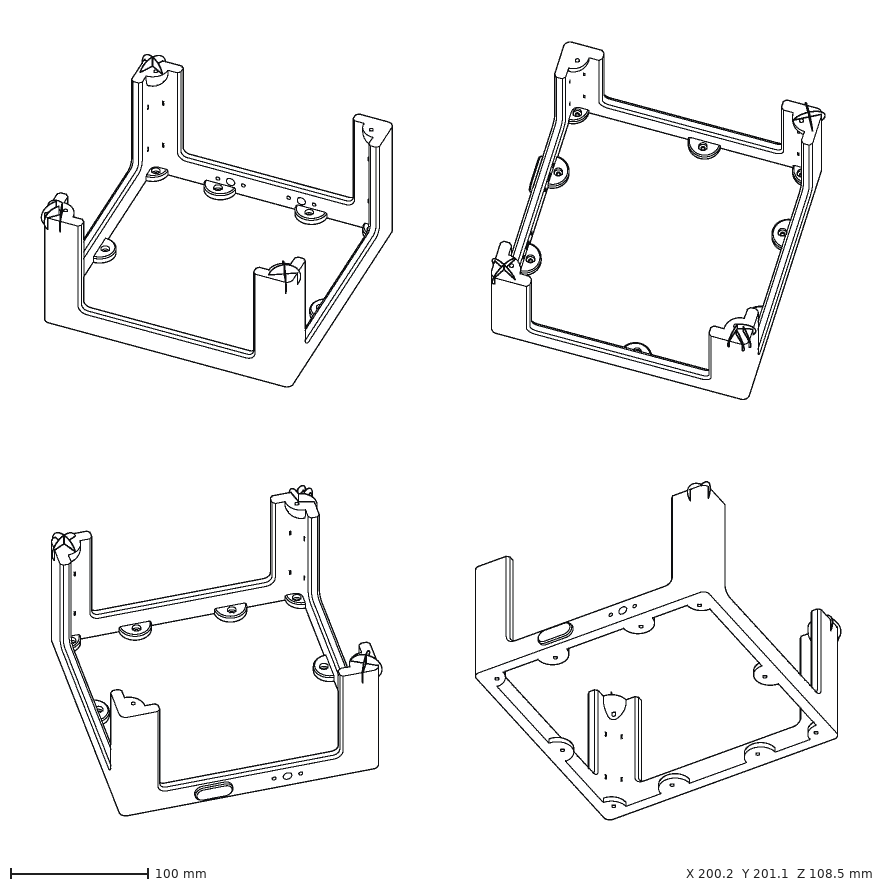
import cadquery as cq
import math

FRAME_WIDTH = 196.0
FRAME_HEIGHT = 100.0
WALL = 8.5
CORNER_RADIUS = 5.0
INNER_WIDTH = FRAME_WIDTH - 2 * WALL
HALF_OUTER = FRAME_WIDTH / 2
HALF_INNER = INNER_WIDTH / 2

WINDOW_WIDTH = 136.0
RAIL_HEIGHT = 19.7
WINDOW_RADIUS = 5.0
WINDOW_CHAMFER = 2.0

EAR_RADIUS = 12.0
EAR_THICKNESS = 5.0
EAR_CHAMFER = 1.0
EAR_SPACING = 72.0
SIDE_EAR_Y = -10.3
EAR_HOLE_INSET = 4.5
EAR_HOLE_CENTER = HALF_INNER - EAR_HOLE_INSET
SCREW_HOLE_DIAMETER = 2.8
COUNTERBORE_DIAMETER = 6.2
COUNTERBORE_DEPTH = 3.0

UPPER_DISC_THICKNESS = 3.5
BALL_HEIGHT = FRAME_HEIGHT - UPPER_DISC_THICKNESS

BLADE_THICKNESS = 0.5
CROSSED_BLADE_ANGLE = 29
PAIR_BLADE_OFFSET = 2.8
SIDE_BLADE_TILT = 15
SIDE_BLADE_INSET = 2.6

SLOT_INSET = 8.3
SLOT_WIDTH = 1.0
SLOT_HEIGHT = 3.2
SLOT_DEPTH = 2.0
SLOT_LEVELS = (27.0, 67.0)

PORT_SPACING = 56.0
PORT_HEIGHT = 9.5
PORT_DIAMETER = 6.5
PORT_SCREW_SPACING = 20.1

COVER_LENGTH = 28.5
COVER_HEIGHT = 12.0
COVER_THICKNESS = 3.0
COVER_CHAMFER = 1.0

SIDES = (-1, 1)
CORNERS = [(side_x, side_y) for side_x in SIDES for side_y in SIDES]


def turned(shape, angle):
    """The shape turned about the Z axis."""
    return shape.rotate((0, 0, 0), (0, 0, 1), angle)


def rounded_block(width):
    """Square block of frame height with rounded vertical edges."""
    return cq.Workplane().rect(width, width).extrude(FRAME_HEIGHT).edges("|Z").fillet(CORNER_RADIUS)


def window_outline(grow, distance):
    """Rounded window outline at a distance toward -Y, grown on all sides and open above the frame."""
    height = 2 * FRAME_HEIGHT
    outline = cq.Sketch().rect(WINDOW_WIDTH + 2 * grow, height).vertices().fillet(WINDOW_RADIUS + grow)
    center_z = RAIL_HEIGHT - grow + height / 2
    return cq.Workplane("XZ", origin=(0, -distance, center_z)).placeSketch(outline)


def make_window():
    """Cutter for the -Y wall window, flared at both wall faces."""
    through = window_outline(0, HALF_INNER).extrude(WALL)
    outer_flare = window_outline(WINDOW_CHAMFER, HALF_OUTER).extrude(-WINDOW_CHAMFER, taper=45)
    inner_flare = window_outline(WINDOW_CHAMFER, HALF_INNER).extrude(WINDOW_CHAMFER, taper=45)
    return through.union(outer_flare).union(inner_flare)


def make_walls():
    """Square ring with one window in each wall."""
    walls = rounded_block(FRAME_WIDTH).cut(rounded_block(INNER_WIDTH))
    window = make_window()
    for turn in range(4):
        walls = walls.cut(turned(window, 90 * turn))
    return walls


def make_lower_ear(x, y):
    """Disc with a chamfered top edge, resting on Z = 0."""
    disc = cq.Workplane(origin=(x, y, 0)).circle(EAR_RADIUS).extrude(EAR_THICKNESS)
    return disc.faces(">Z").chamfer(EAR_CHAMFER)


def make_upper_ear(x, y):
    """Disc level with the top of the frame, on the lower half of a ball."""
    return (
        cq.Workplane("XZ", origin=(x, y, BALL_HEIGHT))
        .moveTo(0, -EAR_RADIUS)
        .radiusArc((EAR_RADIUS, 0), -EAR_RADIUS)
        .lineTo(EAR_RADIUS, UPPER_DISC_THICKNESS)
        .lineTo(0, UPPER_DISC_THICKNESS)
        .close()
        .revolve(360, (0, 0), (0, 1))
    )


def upright_drill(x, y, bottom, diameter, depth):
    """Vertical cylindrical cutter."""
    return cq.Workplane(origin=(x, y, bottom)).circle(diameter / 2).extrude(depth)


def add_lower_ears(frame):
    """Ears at the corners, in pairs along the Y walls and singly on the X walls, each counterbored."""
    places = []
    for side_x, side_y in CORNERS:
        ear_x = side_x * EAR_SPACING / 2
        places.append(((side_x * HALF_INNER, side_y * HALF_INNER),
                       (side_x * EAR_HOLE_CENTER, side_y * EAR_HOLE_CENTER)))
        places.append(((ear_x, side_y * HALF_INNER), (ear_x, side_y * EAR_HOLE_CENTER)))
    for side_x in SIDES:
        places.append(((side_x * HALF_INNER, SIDE_EAR_Y), (side_x * EAR_HOLE_CENTER, SIDE_EAR_Y)))

    outer_block = rounded_block(FRAME_WIDTH)
    counterbore_floor = EAR_THICKNESS - COUNTERBORE_DEPTH
    for ear_center, hole_center in places:
        ear = make_lower_ear(*ear_center).intersect(outer_block)
        hole = upright_drill(*hole_center, 0, SCREW_HOLE_DIAMETER, EAR_THICKNESS)
        counterbore = upright_drill(
            *hole_center, counterbore_floor, COUNTERBORE_DIAMETER, COUNTERBORE_DEPTH
        )
        frame = frame.union(ear).cut(hole).cut(counterbore)
    return frame


def add_upper_ears(frame):
    """Ball-backed ears at the four upper corners, each with a through hole."""
    outer_block = rounded_block(FRAME_WIDTH)
    hole_depth = UPPER_DISC_THICKNESS + EAR_RADIUS
    for side_x, side_y in CORNERS:
        ear = make_upper_ear(side_x * HALF_INNER, side_y * HALF_INNER).intersect(outer_block)
        hole = upright_drill(
            side_x * EAR_HOLE_CENTER, side_y * EAR_HOLE_CENTER,
            FRAME_HEIGHT - hole_depth, SCREW_HOLE_DIAMETER, hole_depth,
        )
        frame = frame.union(ear).cut(hole)
    return frame


def cut_slots(frame):
    """Two levels of blind slots on both inner faces of every corner."""
    along = HALF_INNER - SLOT_INSET
    into = HALF_INNER + SLOT_DEPTH / 2
    for level in SLOT_LEVELS:
        y_wall_slot = cq.Workplane().box(SLOT_WIDTH, SLOT_DEPTH, SLOT_HEIGHT).translate((along, into, level))
        x_wall_slot = cq.Workplane().box(SLOT_DEPTH, SLOT_WIDTH, SLOT_HEIGHT).translate((into, along, level))
        for turn in range(4):
            frame = frame.cut(turned(y_wall_slot, 90 * turn)).cut(turned(x_wall_slot, 90 * turn))
    return frame


def cut_ports(frame):
    """Two ports through the +Y wall with their screw holes."""
    for side_x in SIDES:
        port_x = side_x * PORT_SPACING / 2
        holes = (
            cq.Workplane("XZ", origin=(port_x, HALF_OUTER, PORT_HEIGHT))
            .circle(PORT_DIAMETER / 2)
            .pushPoints([(side * PORT_SCREW_SPACING / 2, 0) for side in SIDES])
            .circle(SCREW_HOLE_DIAMETER / 2)
            .extrude(WALL)
        )
        frame = frame.cut(holes)
    return frame


def make_blade(corner, angle, start, offset=0):
    """Upright slice of a corner ball.

    It runs at a plan angle from start (measured from the ball centre) to the ball surface,
    and is shifted sideways by offset, positive to the left of its direction.
    """
    slab = cq.Workplane().box(
        EAR_RADIUS - start, BLADE_THICKNESS, 2 * EAR_RADIUS, centered=(False, True, True)
    )
    slab = turned(slab.translate((start, offset, 0)), angle)
    blade = cq.Workplane().sphere(EAR_RADIUS).intersect(slab)
    side_x, side_y = corner
    return blade.translate((side_x * HALF_INNER, side_y * HALF_INNER, BALL_HEIGHT))


def add_blades(frame):
    """Crossed full discs at two upper corners and four part discs at the -X -Y corner."""
    blades = []
    for corner, angle in (((1, -1), CROSSED_BLADE_ANGLE), ((-1, 1), 90 - CROSSED_BLADE_ANGLE)):
        blades.append(make_blade(corner, angle, -EAR_RADIUS))
        blades.append(make_blade(corner, angle + 90, -EAR_RADIUS))

    front_corner = (-1, -1)
    tilt = math.radians(SIDE_BLADE_TILT)
    side_start = SIDE_BLADE_INSET * (math.sin(tilt) - math.cos(tilt))
    side_offset = SIDE_BLADE_INSET * (math.sin(tilt) + math.cos(tilt))
    blades.append(make_blade(front_corner, 180 - SIDE_BLADE_TILT, side_start, -side_offset))
    blades.append(make_blade(front_corner, 270 + SIDE_BLADE_TILT, side_start, side_offset))
    for side in SIDES:
        blades.append(make_blade(front_corner, 225, 0, side * PAIR_BLADE_OFFSET))

    for blade in blades:
        frame = frame.union(blade)
    return frame


def make_frame():
    """Complete frame with ears, holes and blades."""
    frame = make_walls()
    frame = add_lower_ears(frame)
    frame = add_upper_ears(frame)
    frame = cut_slots(frame)
    frame = cut_ports(frame)
    return add_blades(frame)


def make_cover():
    """Round-ended plate on the outside of the +Y wall, chamfered on its outer edge."""
    plate = (
        cq.Workplane("XZ", origin=(PORT_SPACING / 2, HALF_OUTER, PORT_HEIGHT))
        .slot2D(COVER_LENGTH, COVER_HEIGHT)
        .extrude(-COVER_THICKNESS)
    )
    return plate.faces(">Y").chamfer(COVER_CHAMFER)


frame = make_frame()
cover = make_cover()
result = cq.Compound.makeCompound([frame.val(), cover.val()])